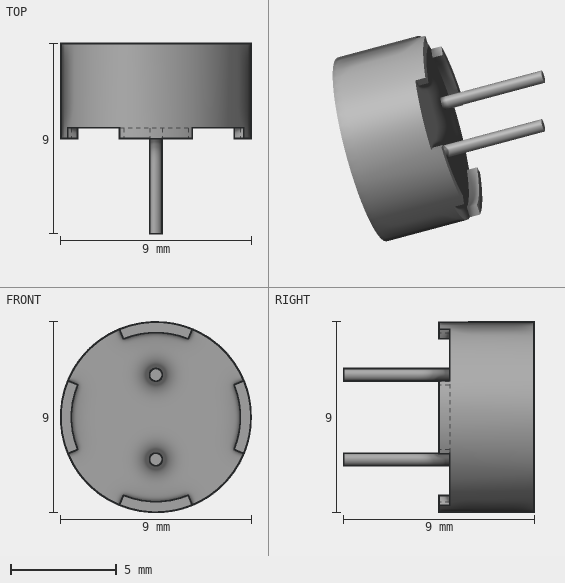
import cadquery as cq
import math

diameter = 9.0
total_length = 9.0
housing_length = 4.5
lug_height = 0.5
lug_thickness = 0.5
lug_count = 4
lug_angle = 45.0
pin_diameter = 0.6
pin_spacing = 4.0

outer_radius = diameter / 2
inner_radius = outer_radius - lug_thickness
body_length = housing_length - lug_height
pin_length = total_length - body_length
lug_pitch = 360 / lug_count
gap_angle = lug_pitch - lug_angle


def front_plane():
    """Pin-side face of the body, at Y = 0, with its normal toward -Y."""
    return cq.Workplane("XZ")


def polar(radius, degrees):
    angle = math.radians(degrees)
    return (radius * math.cos(angle), radius * math.sin(angle))


def make_gap(center_angle):
    """Wedge from the axis to beyond the rim, clearing the space between two lugs."""
    reach = diameter
    corners = [
        (0, 0),
        polar(reach, center_angle - gap_angle / 2),
        polar(reach, center_angle + gap_angle / 2),
    ]
    return front_plane().polyline(corners).close().extrude(lug_height)


housing = front_plane().workplane(offset=-body_length).circle(outer_radius).extrude(housing_length)
housing = housing.cut(front_plane().circle(inner_radius).extrude(lug_height))
for index in range(lug_count):
    housing = housing.cut(make_gap((index + 0.5) * lug_pitch))

pins = (
    front_plane()
    .pushPoints([(0, -pin_spacing / 2), (0, pin_spacing / 2)])
    .circle(pin_diameter / 2)
    .extrude(pin_length)
)

result = housing.union(pins)